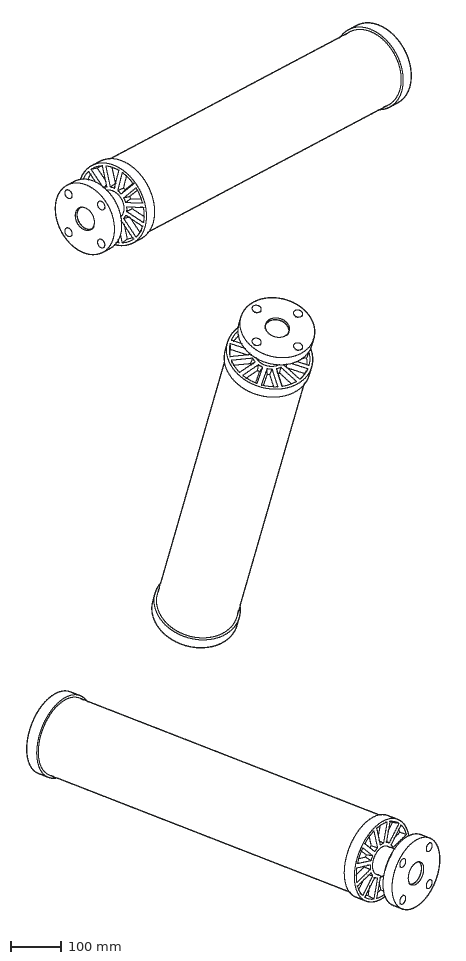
import cadquery as cq
import math

total_length = 927.0
flange_thickness = 23.0
hub_length = 22.0
pipe_length = 42.0
cap_thickness = 26.0

cap_diameter = 175.0
body_diameter = 165.0
pipe_diameter = 60.0
hub_diameter = 82.5
flange_diameter = 152.0

bore_diameter = 48.0
entry_diameter = 49.0
entry_depth = 6.0
centre_hole_diameter = 5.0
centre_hole_depth = 5.0

bolt_hole_diameter = 19.0
bolt_circle_diameter = 119.0
bolt_count = 4
first_bolt_angle = 45

pocket_count = 12
pocket_outer_radius = 82.0
pocket_inner_radius = 37.0
pocket_depth = 13.0
pocket_taper = 15
rib_width = 9.0

flange_y = -total_length / 2
hub_y = flange_y + flange_thickness
pipe_y = hub_y + hub_length
front_cap_y = pipe_y + pipe_length
body_y = front_cap_y + cap_thickness
back_cap_y = total_length / 2 - cap_thickness


def plane_at(y):
    """Plane across the axis with its normal along +Y and its local Y along +Z."""
    return cq.Plane(origin=(0, y, 0), xDir=(-1, 0, 0), normal=(0, 1, 0))


def disc(diameter, y, length):
    """Cylinder on the Y axis that starts at y and runs toward +Y."""
    return cq.Workplane(plane_at(y)).circle(diameter / 2).extrude(length)


def rib_pocket():
    """Tapered sector pocket on the +Z side, bounded by two parallel-sided ribs and two arcs."""
    half_pitch = math.pi / pocket_count

    def corner(radius):
        angle = half_pitch - math.asin(rib_width / 2 / radius)
        return radius * math.sin(angle), radius * math.cos(angle)

    outer_x, outer_z = corner(pocket_outer_radius)
    inner_x, inner_z = corner(pocket_inner_radius)
    return (
        cq.Workplane(plane_at(front_cap_y))
        .moveTo(-inner_x, inner_z)
        .lineTo(-outer_x, outer_z)
        .threePointArc((0, pocket_outer_radius), (outer_x, outer_z))
        .lineTo(inner_x, inner_z)
        .threePointArc((0, pocket_inner_radius), (-inner_x, inner_z))
        .close()
        .extrude(pocket_depth, taper=pocket_taper)
    )


result = (
    disc(flange_diameter, flange_y, flange_thickness)
    .union(disc(hub_diameter, hub_y, hub_length))
    .union(disc(pipe_diameter, pipe_y, pipe_length))
    .union(disc(cap_diameter, front_cap_y, cap_thickness))
    .union(disc(body_diameter, body_y, back_cap_y - body_y))
    .union(disc(cap_diameter, back_cap_y, cap_thickness))
)

pocket = rib_pocket()
for index in range(pocket_count):
    result = result.cut(pocket.rotate((0, 0, 0), (0, 1, 0), index * 360 / pocket_count))

result = result.cut(disc(bore_diameter, flange_y, front_cap_y - flange_y))
result = result.cut(disc(entry_diameter, flange_y, entry_depth))
result = result.cut(disc(centre_hole_diameter, front_cap_y, centre_hole_depth))

bolt_holes = (
    cq.Workplane(plane_at(flange_y))
    .polarArray(bolt_circle_diameter / 2, first_bolt_angle, 360, bolt_count)
    .circle(bolt_hole_diameter / 2)
    .extrude(flange_thickness)
)
result = result.cut(bolt_holes)